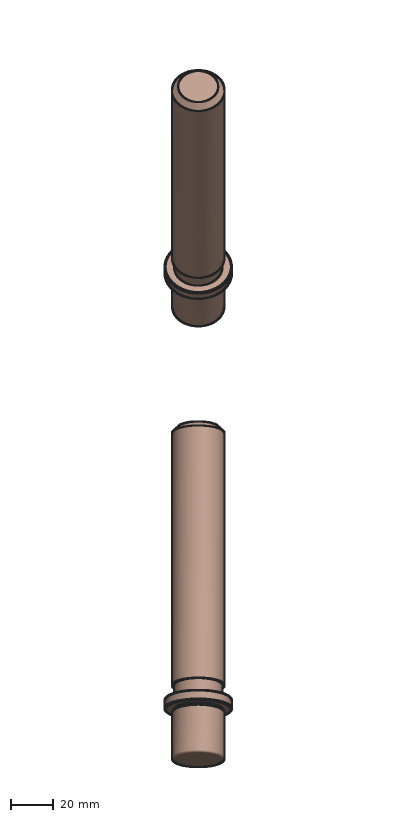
import cadquery as cq

TOTAL_LENGTH = 165.0
PIN_RADIUS = 12.5
COLLAR_RADIUS = 16.0

SHANK_LENGTH = 25.0
SHANK_END_FILLET = 1.0
SHANK_TOP_CHAMFER = 1.0
UNDERCUT_WIDTH = 0.5

COLLAR_THICKNESS = 5.0
COLLAR_CHAMFER = 0.5

NECK_LENGTH = 7.0
NECK_DEPTH = 1.0

PIN_TIP_CHAMFER = 3.0

COLLAR_TOP = SHANK_LENGTH + COLLAR_THICKNESS
NECK_RADIUS = PIN_RADIUS - NECK_DEPTH
PIN_BOTTOM = COLLAR_TOP + NECK_LENGTH
PIN_LENGTH = TOTAL_LENGTH - PIN_BOTTOM


def cylinder(radius, length, base_z):
    """Solid cylinder on the Z axis, standing on height base_z."""
    return cq.Workplane("XY").workplane(offset=base_z).circle(radius).extrude(length)


def make_shank():
    """Shank with a rounded lower end and a chamfer below the undercut."""
    shank = cylinder(PIN_RADIUS, SHANK_LENGTH - UNDERCUT_WIDTH, 0)
    shank = shank.faces("<Z").edges().fillet(SHANK_END_FILLET)
    return shank.faces(">Z").edges().chamfer(SHANK_TOP_CHAMFER)


def make_collar():
    """Stop collar with both rims chamfered."""
    collar = cylinder(COLLAR_RADIUS, COLLAR_THICKNESS, SHANK_LENGTH)
    return collar.faces("<Z or >Z").edges().chamfer(COLLAR_CHAMFER)


def make_undercut():
    """Narrow neck joining the shank to the underside of the collar."""
    return cylinder(NECK_RADIUS, UNDERCUT_WIDTH, SHANK_LENGTH - UNDERCUT_WIDTH)


def make_neck():
    """Plain relief neck, slightly thinner than the pin."""
    return cylinder(NECK_RADIUS, NECK_LENGTH, COLLAR_TOP)


def make_pin():
    """Long guide pin with a chamfered tip."""
    pin = cylinder(PIN_RADIUS, PIN_LENGTH, PIN_BOTTOM)
    return pin.faces(">Z").edges().chamfer(PIN_TIP_CHAMFER)


result = (
    make_shank()
    .union(make_undercut())
    .union(make_collar())
    .union(make_neck())
    .union(make_pin())
)